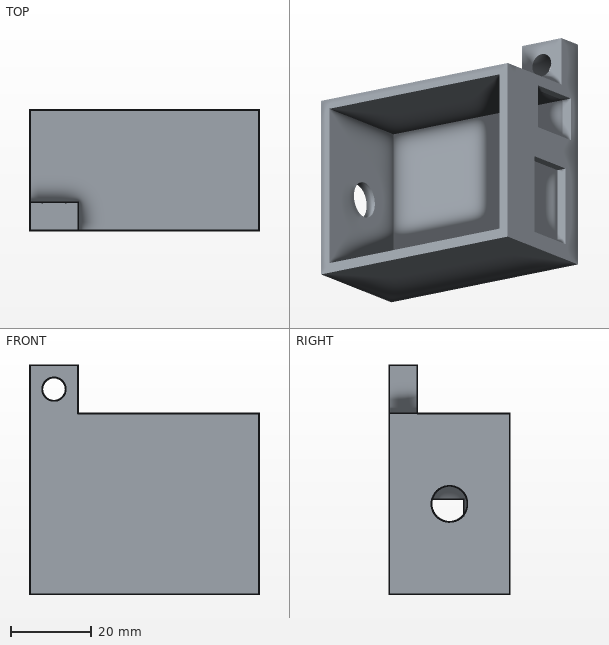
import cadquery as cq

LENGTH = 57.0
DEPTH = 30.0
BOX_HEIGHT = 45.0
WALL = 2.5

TAB_SIZE = 12.0
TAB_DEPTH = 7.0
TAB_HOLE_DIAMETER = 5.75

UPPER_WINDOW_Y = 3.0
UPPER_WINDOW_Z = 31.5
UPPER_WINDOW_WIDTH = 14.1
UPPER_WINDOW_HEIGHT = 10.8
LOWER_WINDOW_Y = 5.25
LOWER_WINDOW_Z = 4.0
LOWER_WINDOW_WIDTH = 13.25
LOWER_WINDOW_HEIGHT = 19.6

CABLE_HOLE_DIAMETER = 8.93


def block(x, y, z, length, depth, height):
    """A box with its lowest corner at (x, y, z)."""
    return cq.Workplane("XY").box(length, depth, height, centered=False).translate((x, y, z))


def open_box():
    """The box: five walls, with the +Y side left open."""
    outside = block(0, 0, 0, LENGTH, DEPTH, BOX_HEIGHT)
    cavity = block(WALL, WALL, WALL, LENGTH - 2 * WALL, DEPTH, BOX_HEIGHT - 2 * WALL)
    return outside.cut(cavity)


def hanging_tab():
    """Square tab with a hole along Y through its centre."""
    tab = block(0, 0, BOX_HEIGHT, TAB_SIZE, TAB_DEPTH, TAB_SIZE)
    return tab.faces("<Y").workplane(centerOption="CenterOfBoundBox").hole(TAB_HOLE_DIAMETER)


def window(y, z, width, height):
    """Cutter for a rectangular window through the -X wall."""
    return block(0, y, z, WALL, width, height)


def cable_hole():
    """Cutter for the round hole through the +X wall."""
    return (
        cq.Workplane("YZ", origin=(LENGTH - WALL, DEPTH / 2, BOX_HEIGHT / 2))
        .circle(CABLE_HOLE_DIAMETER / 2)
        .extrude(WALL)
    )


result = (
    open_box()
    .union(hanging_tab())
    .cut(window(UPPER_WINDOW_Y, UPPER_WINDOW_Z, UPPER_WINDOW_WIDTH, UPPER_WINDOW_HEIGHT))
    .cut(window(LOWER_WINDOW_Y, LOWER_WINDOW_Z, LOWER_WINDOW_WIDTH, LOWER_WINDOW_HEIGHT))
    .cut(cable_hole())
)